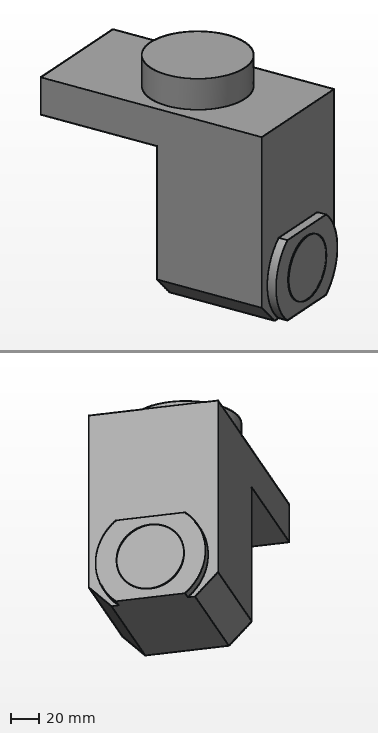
import cadquery as cq

body_length = 187.3
body_width = 96.0
body_height = 151.5
arm_thickness = 29.5
leg_start = 98.5
foot_chamfer = 17.0

boss_diameter = 80.0
boss_height = 24.5
boss_center_x = 102.5

flange_diameter = 81.5
flange_height = 63.3
flange_thickness = 7.5
flange_center_z = flange_height / 2
cap_diameter = 50.0
cap_thickness = 0.8


def make_body():
    arm = cq.Workplane("XY").box(
        body_length, body_width, arm_thickness, centered=(False, True, False)
    ).translate((0, 0, body_height - arm_thickness))
    leg = cq.Workplane("XY").box(
        body_length - leg_start, body_width, body_height, centered=(False, True, False)
    ).translate((leg_start, 0, 0))
    leg = leg.faces("<Z").edges("|X").chamfer(foot_chamfer)
    return arm.union(leg)


def make_boss():
    return (
        cq.Workplane("XY", origin=(boss_center_x, 0, body_height))
        .circle(boss_diameter / 2)
        .extrude(boss_height)
    )


def end_disc(start_x, diameter, thickness):
    """Disc on the flange axis, extending toward +X from start_x."""
    return (
        cq.Workplane("YZ", origin=(start_x, 0, flange_center_z))
        .circle(diameter / 2)
        .extrude(thickness)
    )


def make_flange():
    trim = cq.Workplane("XY").box(
        flange_thickness, flange_diameter, flange_height, centered=(False, True, False)
    ).translate((body_length, 0, 0))
    flange = end_disc(body_length, flange_diameter, flange_thickness).intersect(trim)
    cap = end_disc(body_length + flange_thickness, cap_diameter, cap_thickness)
    return flange.union(cap)


result = make_body().union(make_boss()).union(make_flange())